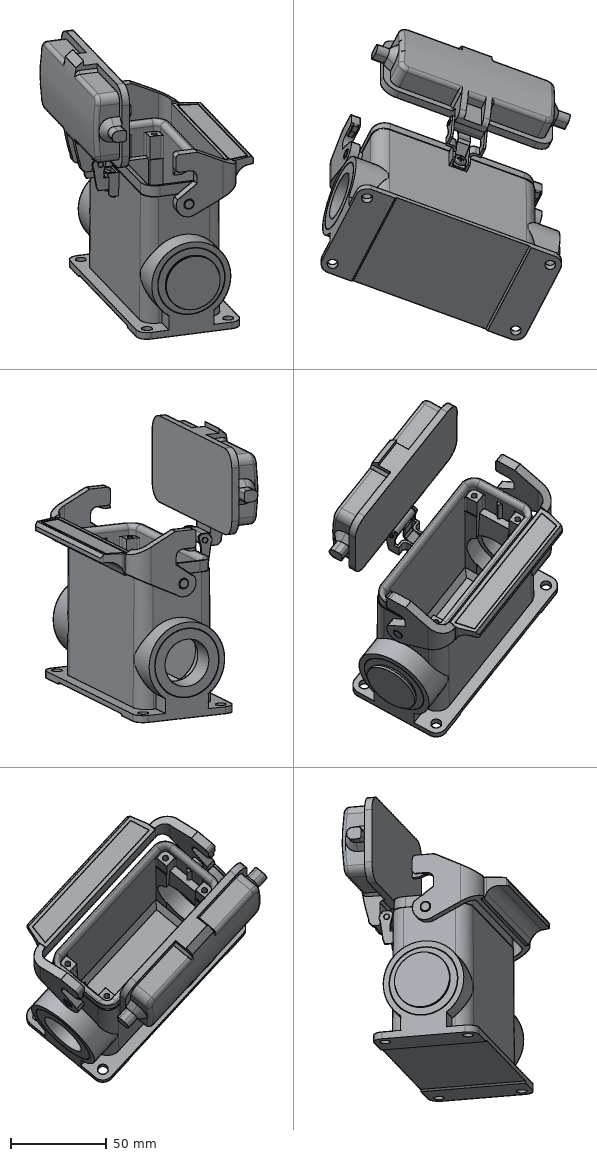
import cadquery as cq
import math


def rounded_block(size_x, size_y, z_bottom, z_top, radius, taper=0):
    """Upright block centred on the Z axis, with rounded vertical corners."""
    sketch = cq.Sketch().rect(size_x, size_y).vertices().fillet(radius)
    return cq.Workplane("XY", origin=(0, 0, z_bottom)).placeSketch(sketch).extrude(z_top - z_bottom, taper=taper)


def box_between(x0, x1, y0, y1, z0, z1):
    """Box given by its limits along each axis."""
    return cq.Workplane("XY").box(x1 - x0, y1 - y0, z1 - z0, centered=False).translate((x0, y0, z0))


def cylinder_x(diameter, x0, x1, y, z):
    """Round bar along X between x0 and x1."""
    return cq.Workplane("YZ", origin=(x0, y, z)).circle(diameter / 2).extrude(x1 - x0)


def side_profile(x_start):
    """Workplane whose local coordinates are (y, z), at a chosen x."""
    return cq.Workplane("YZ", origin=(x_start, 0, 0))


flange_length = 117
flange_width = 57.2
flange_height = 3.8
flange_corner = 6
mount_hole = 5.6
mount_hole_x = flange_length / 2 - flange_corner
mount_hole_y = flange_width / 2 - flange_corner
foot_relief = 1
foot_relief_half = 39

shell_length = 94.4
shell_width = 44.2
shell_corner = 8
shell_draft = 0.4
shoulder_z = 75
rim_inset = 0.3
housing_top = 81
rim_round = 3
shell_shrink = 2 * (shoulder_z - flange_height) * math.tan(math.radians(shell_draft))
rim_length = shell_length - shell_shrink - 2 * rim_inset
rim_width = shell_width - shell_shrink - 2 * rim_inset

opening_length = 85
opening_width = 34.4
opening_corner = 3
seat_z = 75
end_ledge_z = 62
end_ledge_x = 38.5
pillar_x = 36
pillar_y = 10
insert_hole = 3
insert_hole_x = 39
insert_hole_y = 13.6
well_length = 71
floor_z = 6
floor_bevel = 3.2
key_notch = 1.8

entry_z = 29.9
entry_boss = 44
entry_seat = 37.5
entry_seat_x = 45
entry_bore = 32
entry_root_x = 40
pedestal_width = 25
entry_end = flange_length / 2
entry_fitting = 37
cable_bore = 25.5
plug_neck = 28
plug_flange = 30
plug_neck_end = entry_end + 1.5
plug_end = 61.5

pivot_z = 71.9
pivot_collar = 7
pivot_pin = 4.8
pivot_hole = 5.6
pivot_pin_end = 55
arm_inside = 49.6
arm_outside = 54.7
lever_back = 29
lever_back_inside = 25
lever_outer_corner = 10
lever_inner_corner = 5.4
lever_front = -7.2
arm_top = 100.6
arm_top_back = 4.8
jaw_corner = 2
jaw_roof = 90.6
jaw_floor = 82.8
jaw_back = 4.4
jaw_radius = 3.8
jaw_floor_angle = 27
nub_width = 2.8
nub_bottom = 88.8
nub_front = -7.6
arm_end_radius = 7.1

handle_top = 88.8
handle_bottom = 84.3
handle_tip = 41.3
handle_neck_y = 30.2
handle_root_bottom = 77
handle_corner = 1.5
handle_root_half = 43.7
handle_tip_half = 40.3
handle_panel_border = 2.2
handle_panel_depth = 0.4

cover_z = 115.3
cover_back = -30.9
cover_rim_front = -35
cover_rim_length = 97
cover_rim_height = 46.7
cover_rim_corner = 9
cover_body_length = 89
cover_body_height = 38.4
cover_body_corner = 5
cover_crown = -48.88
cover_crown_radius = 115
cover_edge_round = 2.4
cover_top = 141.28
stud_end = 55.2
stud_radius = 3.25
stud_base_radius = 7.8
stud_center_y = -39.7
stud_root = cover_body_length / 2 - 1

strap_half = 8.6
strap_flare = 1.6
strap_back = -37.7
strap_bottom = 78.3
strap_slot_half = 5
strap_slot_top = 98.2
strap_web_front = -41

hinge_y = -33.6
hinge_z = 82.1
hinge_pin = 3
hinge_pin_end = 10.6
knuckle = 5.6
ear_inside = 8.7
ear_outside = 10


def mirrored_x(half):
    """Body together with its mirror image across the YZ plane."""
    return half.union(half.mirror("YZ"))


def make_flange():
    flange = rounded_block(flange_length, flange_width, 0, flange_height, flange_corner)
    holes = (
        cq.Workplane("XY")
        .rect(2 * mount_hole_x, 2 * mount_hole_y, forConstruction=True)
        .vertices()
        .circle(mount_hole / 2)
        .extrude(flange_height)
    )
    inner = foot_relief_half - foot_relief
    relief = (
        cq.Workplane("XZ", origin=(0, flange_width / 2, 0))
        .polyline([(-foot_relief_half, 0), (foot_relief_half, 0), (inner, foot_relief), (-inner, foot_relief)])
        .close()
        .extrude(flange_width)
    )
    return flange.cut(holes).cut(relief)


def make_shell():
    return rounded_block(shell_length, shell_width, flange_height, shoulder_z, shell_corner, shell_draft)


def make_opening():
    return rounded_block(opening_length, opening_width, seat_z, housing_top, opening_corner)


def make_rim():
    """Ring around the opening, rounded over towards the inside."""
    rim = rounded_block(rim_length, rim_width, shoulder_z, housing_top, shell_corner).cut(make_opening())
    reach_x = opening_length / 2 + 0.5
    reach_y = opening_width / 2 + 0.5
    inner_edge = cq.selectors.BoxSelector((-reach_x, -reach_y, shoulder_z), (reach_x, reach_y, housing_top + 1))
    return rim.faces(">Z").edges(inner_edge).fillet(rim_round)


def make_cavity():
    """Space between the corner pillars and end ledges, above a well with a bevelled floor."""
    cavity = rounded_block(2 * pillar_x, opening_width, end_ledge_z, seat_z, 1)
    cavity = cavity.union(rounded_block(opening_length, 2 * pillar_y, end_ledge_z, seat_z, 1))
    well = box_between(-well_length / 2, well_length / 2, -opening_width / 2, opening_width / 2, floor_z, end_ledge_z)
    cavity = cavity.union(well.faces("<Z").edges().chamfer(floor_bevel))
    end_slope = (
        cq.Workplane("XZ", origin=(0, pillar_y, 0))
        .polyline([
            (-end_ledge_x, end_ledge_z),
            (end_ledge_x, end_ledge_z),
            (well_length / 2, floor_z + floor_bevel),
            (-well_length / 2, floor_z + floor_bevel),
        ])
        .close()
        .extrude(2 * pillar_y)
    )
    cavity = cavity.union(end_slope)
    insert_holes = (
        cq.Workplane("XY", origin=(0, 0, end_ledge_z))
        .rect(2 * insert_hole_x, 2 * insert_hole_y, forConstruction=True)
        .vertices()
        .circle(insert_hole / 2)
        .extrude(seat_z - end_ledge_z)
    )
    return cavity.union(insert_holes)


def make_key_rib():
    """Small pointed rib at the middle of each end of the opening."""
    rib = (
        cq.Workplane("XY", origin=(0, 0, end_ledge_z))
        .polyline([
            (opening_length / 2, key_notch),
            (opening_length / 2 - key_notch, 0),
            (opening_length / 2, -key_notch),
        ])
        .close()
        .extrude(seat_z - end_ledge_z)
    )
    return mirrored_x(rib)


def make_entry_bosses():
    boss = cylinder_x(entry_boss, entry_root_x, entry_end, 0, entry_z)
    pedestal = box_between(entry_root_x, entry_end, -pedestal_width / 2, pedestal_width / 2, 0, entry_z)
    return mirrored_x(boss.union(pedestal))


def make_entry_bores():
    seat = cylinder_x(entry_seat, entry_seat_x, entry_end, 0, entry_z)
    bore = cylinder_x(entry_bore, 0, entry_seat_x, 0, entry_z)
    return mirrored_x(seat.union(bore))


def make_pivots():
    wall = (opening_length + rim_length) / 4
    collar = cylinder_x(pivot_collar, wall, arm_inside, 0, pivot_z)
    pin = cylinder_x(pivot_pin, arm_inside, pivot_pin_end, 0, pivot_z)
    return mirrored_x(collar.union(pin))


housing = make_flange().union(make_shell()).union(make_entry_bosses())
housing = housing.cut(make_cavity()).union(make_rim())
housing = housing.cut(make_entry_bores())
housing = housing.union(make_key_rib()).union(make_pivots())


reducer = cylinder_x(entry_fitting, -entry_end, -entry_seat_x, 0, entry_z)
reducer = reducer.cut(cylinder_x(cable_bore, -entry_end, -entry_seat_x, 0, entry_z))

plug = cylinder_x(entry_fitting, entry_seat_x, entry_end, 0, entry_z)
plug = plug.union(cylinder_x(plug_neck, entry_end, plug_neck_end, 0, entry_z))
plug = plug.union(cylinder_x(plug_flange, plug_neck_end, plug_end, 0, entry_z))


def make_arm_outline():
    """Side outline of the arms: hooked jaw at the front, round end at the pivot."""
    lower_slope = math.atan2(12, 25)
    low_tangent = (arm_end_radius * math.sin(lower_slope), pivot_z - arm_end_radius * math.cos(lower_slope))
    high_tangent = (
        -arm_end_radius * math.cos(math.radians(jaw_floor_angle)),
        pivot_z + arm_end_radius * math.sin(math.radians(jaw_floor_angle)),
    )
    low_back = (lever_back, low_tangent[1] + (lever_back - low_tangent[0]) * math.tan(lower_slope))
    high_back = (lever_back, handle_top)
    return (
        side_profile(-arm_outside)
        .moveTo(*low_back)
        .lineTo(*high_back)
        .lineTo(arm_top_back, arm_top)
        .lineTo(lever_front + jaw_corner, arm_top)
        .radiusArc((lever_front, arm_top - jaw_corner), -jaw_corner)
        .lineTo(lever_front, jaw_roof + 1.2)
        .lineTo(lever_front + 1.2, jaw_roof)
        .lineTo(jaw_back - jaw_radius, jaw_roof)
        .radiusArc((jaw_back, jaw_roof - jaw_radius), jaw_radius)
        .lineTo(jaw_back, jaw_floor)
        .lineTo(*high_tangent)
        .threePointArc((-arm_end_radius * 0.6, pivot_z - arm_end_radius * 0.8), low_tangent)
        .close()
        .extrude(2 * arm_outside)
    )


def make_lever_frame():
    """U-shaped frame in plan, trimmed to the side outline."""
    frame = box_between(-arm_outside, arm_outside, lever_front, lever_back, 0, cover_top)
    frame = frame.edges("|Z and >Y").fillet(lever_outer_corner)
    gap = box_between(-arm_inside, arm_inside, lever_front, lever_back_inside, 0, cover_top)
    gap = gap.edges("|Z and >Y").fillet(lever_inner_corner)
    frame = frame.cut(gap).intersect(make_arm_outline())
    above_handle = box_between(
        -handle_root_half, handle_root_half, lever_back_inside - 1, lever_back, handle_top, cover_top
    )
    return frame.cut(above_handle)


def make_handle():
    """Grip plate: as wide as the frame's straight back, then narrowing to the tip."""
    plan = (
        cq.Workplane("XY", origin=(0, 0, handle_root_bottom))
        .polyline([
            (-handle_root_half, lever_back_inside),
            (handle_root_half, lever_back_inside),
            (handle_root_half, handle_neck_y),
            (handle_tip_half, handle_tip),
            (-handle_tip_half, handle_tip),
            (-handle_root_half, handle_neck_y),
        ])
        .close()
        .extrude(handle_top - handle_root_bottom)
        .edges("|Z and >Y")
        .fillet(handle_corner)
    )
    section = (
        side_profile(-handle_root_half)
        .moveTo(lever_back_inside, handle_top)
        .lineTo(handle_tip - 1.5, handle_top)
        .lineTo(handle_tip, handle_top - 2.2)
        .lineTo(handle_tip, handle_bottom)
        .lineTo(36.5, handle_bottom)
        .threePointArc((33, 83.1), (handle_neck_y, 80))
        .lineTo(lever_back, handle_root_bottom)
        .lineTo(lever_back_inside, handle_root_bottom)
        .close()
        .extrude(2 * handle_root_half)
    )
    return plan.intersect(section)


def make_handle_panel():
    """Shallow trapezoid sunk into the top of the handle."""
    near = lever_back_inside + handle_panel_border
    far = handle_tip - 1.5 * handle_panel_border
    near_half = handle_root_half - handle_panel_border
    far_half = handle_tip_half - handle_panel_border / 2
    return (
        cq.Workplane("XY", origin=(0, 0, handle_top - handle_panel_depth))
        .polyline([(-near_half, near), (near_half, near), (far_half, far), (-far_half, far)])
        .close()
        .extrude(handle_panel_depth)
    )


def make_jaw_nubs():
    """Narrow catch under the upper jaw of each arm."""
    nub = (
        side_profile((arm_inside + arm_outside - nub_width) / 2)
        .polyline([
            (jaw_back - jaw_radius, jaw_roof),
            (-4, nub_bottom),
            (nub_front, nub_bottom),
            (nub_front, nub_bottom + 1.2),
            (lever_front, jaw_roof + 1.2),
            (lever_front + 2, jaw_roof + 1.2),
        ])
        .close()
        .extrude(nub_width)
    )
    return mirrored_x(nub)


lever = make_lever_frame().union(make_handle()).cut(make_handle_panel()).union(make_jaw_nubs())
lever = lever.cut(cylinder_x(pivot_hole, -arm_outside, arm_outside, 0, pivot_z))


def cover_block(length, height, corner, y_back, y_front):
    sketch = cq.Sketch().rect(length, height).vertices().fillet(corner)
    return cq.Workplane("XZ", origin=(0, y_back, cover_z)).placeSketch(sketch).extrude(y_back - y_front)


def crown_y(z):
    """Y of the crowned front surface at a height."""
    rise = z - cover_z
    return cover_crown + cover_crown_radius - math.sqrt(cover_crown_radius**2 - rise**2)


def make_cover_body():
    """Raised body that widens into the strap at top and bottom, with a crowned, rounded front."""
    body = cover_block(cover_body_length, cover_body_height, cover_body_corner, cover_rim_front, cover_crown)
    root_half = strap_half + strap_flare
    half_height = cover_body_height / 2
    flare_half = half_height + strap_flare
    flare = (
        cq.Workplane("XZ", origin=(0, cover_rim_front, cover_z))
        .polyline([
            (-root_half, half_height),
            (-strap_half, flare_half),
            (strap_half, flare_half),
            (root_half, half_height),
            (root_half, -half_height),
            (strap_half, -flare_half),
            (-strap_half, -flare_half),
            (-root_half, -half_height),
        ])
        .close()
        .extrude(cover_rim_front - cover_crown)
    )
    body = body.union(flare)
    crown = cylinder_x(
        2 * cover_crown_radius,
        -cover_body_length,
        cover_body_length,
        cover_crown + cover_crown_radius,
        cover_z,
    )
    return body.intersect(crown).faces("<Y").edges().fillet(cover_edge_round)


def make_strap():
    """Catch at the top, crowned front, and arm reaching down to the hinge."""
    catch_y = -42.5
    shoulder = 137.8
    tail = 82
    cover_low = cover_z - cover_rim_height / 2
    cover_high = cover_z + cover_rim_height / 2
    strap = (
        side_profile(-strap_half)
        .moveTo(cover_rim_front, cover_high)
        .lineTo(catch_y, cover_high)
        .lineTo(catch_y, cover_top)
        .lineTo(crown_y(shoulder), shoulder)
        .threePointArc((cover_crown, cover_z), (crown_y(tail), tail))
        .threePointArc((-43, 79.3), (-41, strap_bottom))
        .lineTo(strap_back, strap_bottom)
        .lineTo(strap_back, cover_low - 1.3)
        .lineTo(strap_back + 1.3, cover_low)
        .lineTo(cover_rim_front, cover_low)
        .close()
        .extrude(2 * strap_half)
    )
    slot = box_between(
        -strap_slot_half, strap_slot_half, cover_crown, strap_web_front, strap_bottom, strap_slot_top
    )
    return strap.cut(slot)


def stud_section(wire_plane, radius):
    """Flat-backed section with a round front."""
    return (
        wire_plane
        .moveTo(cover_rim_front, -radius)
        .lineTo(stud_center_y, -radius)
        .threePointArc((stud_center_y - radius, 0), (stud_center_y, radius))
        .lineTo(cover_rim_front, radius)
        .close()
    )


def make_studs():
    rim_end = cover_rim_length / 2
    base = stud_section(cq.Workplane("YZ", origin=(stud_root, 0, cover_z)), stud_base_radius)
    cone = stud_section(base.workplane(offset=rim_end - stud_root, origin=(0, 0, cover_z)), stud_radius).loft()
    bar = stud_section(cq.Workplane("YZ", origin=(rim_end, 0, cover_z)), stud_radius).extrude(stud_end - rim_end)
    bar = bar.edges("|X and >Y").fillet(1.5)
    return mirrored_x(cone.union(bar))


def make_knuckle():
    barrel = cylinder_x(knuckle, -strap_half, strap_half, hinge_y, hinge_z)
    link = box_between(
        -strap_half, strap_half, strap_back, hinge_y, hinge_z - knuckle / 2, hinge_z + knuckle / 2
    )
    pin = cylinder_x(hinge_pin, -hinge_pin_end, hinge_pin_end, hinge_y, hinge_z)
    return barrel.union(link).union(pin)


cover_rim = cover_block(cover_rim_length, cover_rim_height, cover_rim_corner, cover_back, cover_rim_front)
cover = cover_rim.union(make_cover_body()).union(make_studs()).union(make_strap()).union(make_knuckle())


bracket_back = -(shell_width - shell_shrink) / 2
channel_half = 5
sheet = 1.3
channel_bottom = 61
channel_top = 74.2
wing_bottom = 67.4
channel_front = -27
wing_front = -30.2
screw_z = 65
screw_head = 7
leaf_half = 3.4
leaf_gauge = 0.9
leaf_bottom = 59.5


def make_bracket_channel():
    channel = box_between(
        -channel_half, channel_half, channel_front, bracket_back, channel_bottom, channel_top
    ).edges("|X and <Y and <Z").chamfer(1)
    hollow = box_between(
        -channel_half + sheet,
        channel_half - sheet,
        channel_front,
        bracket_back - sheet,
        channel_bottom,
        channel_top,
    )
    return channel.cut(hollow)


def make_bracket_wings():
    """Sheet stepping outwards from the channel walls to the ears."""
    wing = (
        cq.Workplane("XY", origin=(0, 0, wing_bottom))
        .moveTo(channel_half, channel_front)
        .lineTo(channel_half - sheet, channel_front)
        .lineTo(channel_half - sheet, channel_front - 1.2)
        .threePointArc((4.5, wing_front + 0.7), (6.6, wing_front))
        .lineTo(ear_outside, wing_front)
        .lineTo(ear_outside, wing_front + sheet)
        .lineTo(7, wing_front + sheet)
        .threePointArc((5.6, channel_front - 1.3), (channel_half, channel_front))
        .close()
        .extrude(channel_top - wing_bottom)
    )
    return mirrored_x(wing)


def make_bracket_ears():
    ear_top = 85.5
    ear = (
        side_profile(ear_inside)
        .moveTo(wing_front + sheet, wing_bottom)
        .lineTo(-34.8, wing_bottom)
        .lineTo(-35.7, 69.5)
        .lineTo(-37.3, hinge_z - 2)
        .threePointArc((-37.2, hinge_z + 1.8), (-35, ear_top))
        .lineTo(-31.9, ear_top)
        .lineTo(-30.2, 84.2)
        .lineTo(-31.7, 78)
        .lineTo(-31.7, channel_top)
        .lineTo(wing_front + sheet, channel_top)
        .close()
        .extrude(ear_outside - ear_inside)
    )
    return mirrored_x(ear).cut(cylinder_x(hinge_pin, -hinge_pin_end, hinge_pin_end, hinge_y, hinge_z))


def make_leaf_spring():
    """Strip clamped on the channel floor that bends up behind the knuckle."""
    back = bracket_back - sheet
    front = back - leaf_gauge
    leaf = (
        side_profile(-leaf_half)
        .polyline([
            (back, leaf_bottom),
            (back, 71.8),
            (-28.6, 74.9),
            (-29.7, 76.5),
            (-29.2, 84),
            (-29.2 - leaf_gauge, 84),
            (-30.6, 78),
            (-30.6, 76),
            (-29.4, 74),
            (front, 70.8),
            (front, leaf_bottom),
        ])
        .close()
        .extrude(2 * leaf_half)
    )
    return leaf.edges("|Y and <Z").fillet(1)


def make_screw_head():
    head_back = bracket_back - sheet - leaf_gauge
    head = cq.Workplane("XZ", origin=(0, head_back, screw_z)).circle(screw_head / 2).extrude(1.9)
    cross = (
        cq.Workplane("XZ", origin=(0, head_back - 0.9, screw_z))
        .rect(3.6, 0.9)
        .rect(0.9, 3.6)
        .extrude(1)
    )
    return head.faces("<Y").edges().fillet(0.8).cut(cross)


bracket = make_bracket_channel().union(make_bracket_wings()).union(make_bracket_ears())
bracket = bracket.union(make_leaf_spring()).union(make_screw_head()).cut(make_shell())

result = cq.Compound.makeCompound([
    housing.val(),
    reducer.val(),
    plug.val(),
    lever.val(),
    cover.val(),
    bracket.val(),
])